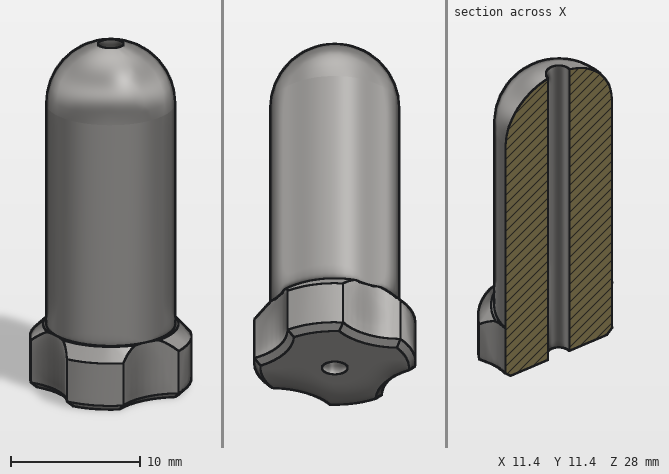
import cadquery as cq

total_height = 28.02
body_diameter = 10.0
hole_diameter = 2.0

head_diameter = 12.5
head_height = 5.0
shoulder_chamfer = 1.0
bottom_chamfer = 0.5
scallop_count = 4

body_radius = body_diameter / 2
head_radius = head_diameter / 2
hole_radius = hole_diameter / 2

dome_rim_rise = (body_radius**2 - hole_radius**2) ** 0.5
dome_center_height = total_height - dome_rim_rise

scallop_radius = body_radius
scallop_offset = body_radius + scallop_radius


def make_head():
    """Round head with a conical shoulder, scalloped sides and a chamfered bottom edge."""
    blank = cq.Workplane("XY").circle(head_radius).extrude(head_height)
    scallops = (
        cq.Workplane("XY")
        .polarArray(scallop_offset, 0, 360, scallop_count)
        .circle(scallop_radius)
        .extrude(head_height)
    )
    head = blank.faces(">Z").chamfer(shoulder_chamfer).cut(scallops)
    return head.faces("<Z").chamfer(bottom_chamfer)


def make_body():
    """Cylinder standing on the head, closed by a hemispherical dome."""
    cylinder = (
        cq.Workplane("XY", origin=(0, 0, head_height))
        .circle(body_radius)
        .extrude(dome_center_height - head_height)
    )
    dome = cq.Workplane("XY", origin=(0, 0, dome_center_height)).sphere(body_radius)
    return cylinder.union(dome)


def make_axial_hole():
    """Hole running through the whole part, long enough to remove the dome tip."""
    dome_tip_height = dome_center_height + body_radius
    return cq.Workplane("XY").circle(hole_radius).extrude(dome_tip_height)


result = make_head().union(make_body()).cut(make_axial_hole())